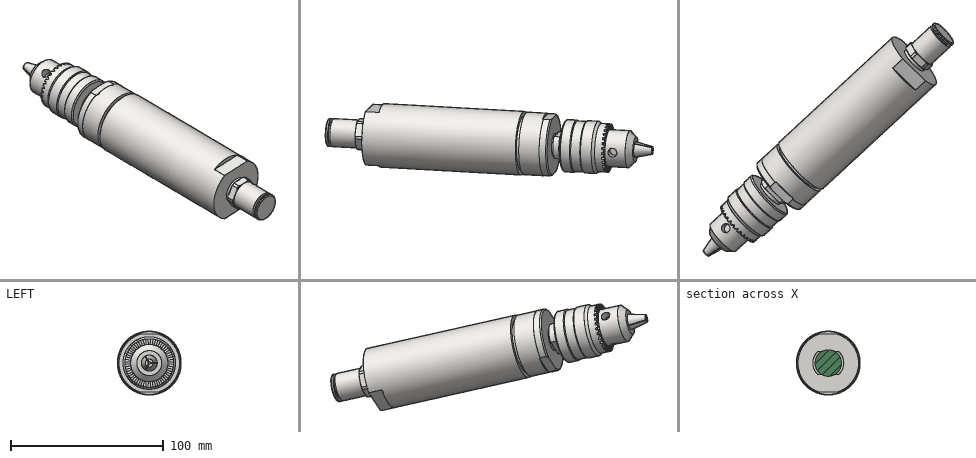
import cadquery as cq
import math


NOSE_X = 11.4
NOSE_CONE_END_X = 15.5
GEAR_X = 29.0
GEAR_END_X = 35.2
SLEEVE_X = 37.2
GRIP_X = 45.0
GRIP_END_X = 51.1
SLEEVE_END_X = 58.8
SPINDLE_FLAT_X = 60.8
SPINDLE_FLAT_END_X = 64.7
FRONT_FLANGE_X = 66.2
CAP_X = 71.5
FRONT_FLAT_END_X = 72.1
GROOVE_X = 85.2
GROOVE_END_X = 87.5
SEAM_X = 151.0
REAR_FLANGE_X = 181.8
REAR_END_X = 191.0
NUT_X = 193.2
NUT_END_X = 198.2
CLIP_X = 215.3
CLIP_END_X = 216.8
TOTAL_LENGTH = 218.5

JAW_TIP_DIA = 5.2
JAW_BASE_DIA = 10.5
NOSE_DIA = 16.5
CHUCK_DIA = 24.5
GEAR_DIA = 32.0
SLEEVE_DIA = 34.5
GRIP_DIA = 33.5
COLLAR_DIA = 18.0
SPINDLE_DIA = 14.9
SPINDLE_FLAT_DIA = 20.3
FRONT_FLANGE_DIA = 41.5
CAP_DIA = 41.3
BODY_DIA = 42.0
GROOVE_DIA = 36.0
NUT_DIA = 21.0
FITTING_DIA = 18.5
CLIP_DIA = 14.0

FRONT_FLAT_WIDTH = 38.0
REAR_FLAT_WIDTH = 36.0
NUT_FLAT_WIDTH = 19.0
GRIP_BEVEL = 0.7
SLEEVE_CHAMFER = 0.9
COLLAR_FILLET = 0.9
FLANGE_CHAMFER = 0.9
NUT_CHAMFER = 0.5
FITTING_CHAMFER = 0.7

JAW_COUNT = 3
JAW_SLIT = 0.5
JAW_BORE_DIA = 1.5
KEY_HOLE_DIA = 6.0
KEY_HOLE_X = 24.0
KEY_HOLE_DEPTH = 5.7
TOOTH_COUNT = 30
TOOTH_SLOT_WIDTH = 1.5
TOOTH_SLOT_DEPTH = 1.5


def turned(points):
    """Solid of revolution about X from (x, diameter) points."""
    outline = [(x, dia / 2) for x, dia in points]
    closed = [(points[0][0], 0)] + outline + [(points[-1][0], 0)]
    return cq.Workplane("XY").polyline(closed).close().revolve(360, (0, 0, 0), (1, 0, 0), clean=False)


def cylinder(start, end, dia):
    return cq.Workplane("YZ", origin=(start, 0, 0)).circle(dia / 2).extrude(end - start)


def double_flat(disc, start, end, width):
    """Keep the part of a disc between two flats that face +Z and -Z."""
    slab = cq.Workplane("XY").box(end - start, BODY_DIA, width).translate(((start + end) / 2, 0, 0))
    return disc.intersect(slab)


def around_axis(shape, count):
    """Copies of a shape spread evenly about X."""
    return [shape.rotate((0, 0, 0), (1, 0, 0), 360 / count * i) for i in range(count)]


def make_chuck():
    chuck = turned([
        (0, JAW_TIP_DIA),
        (NOSE_X, JAW_BASE_DIA),
        (NOSE_X, NOSE_DIA),
        (NOSE_CONE_END_X, CHUCK_DIA),
        (GEAR_X, CHUCK_DIA),
        (GEAR_X, GEAR_DIA),
        (GEAR_END_X, GEAR_DIA),
        (SLEEVE_X, SLEEVE_DIA),
        (GRIP_X - GRIP_BEVEL, SLEEVE_DIA),
        (GRIP_X, GRIP_DIA),
        (GRIP_END_X, GRIP_DIA),
        (GRIP_END_X + GRIP_BEVEL, SLEEVE_DIA),
        (SLEEVE_END_X - SLEEVE_CHAMFER, SLEEVE_DIA),
        (SLEEVE_END_X, SLEEVE_DIA - 2 * SLEEVE_CHAMFER),
    ])

    slit_height = JAW_BASE_DIA / 2
    slit = cq.Workplane("XY").box(NOSE_X, slit_height, JAW_SLIT)
    slit = slit.translate((NOSE_X / 2, -slit_height / 2, 0))
    jaw_cuts = around_axis(slit, JAW_COUNT) + [cylinder(0, NOSE_X, JAW_BORE_DIA)]

    hole_floor = CHUCK_DIA / 2 - KEY_HOLE_DEPTH
    key_hole = cq.Workplane("XZ", origin=(KEY_HOLE_X, hole_floor, 0))
    key_hole = key_hole.circle(KEY_HOLE_DIA / 2).extrude(-CHUCK_DIA / 2)

    bottom_x = GEAR_X + TOOTH_SLOT_DEPTH
    half_width = TOOTH_SLOT_WIDTH / 2
    tooth_slot = (
        cq.Workplane("XZ", origin=(0, -CHUCK_DIA / 2, 0))
        .moveTo(GEAR_X, -half_width)
        .lineTo(bottom_x - half_width, -half_width)
        .threePointArc((bottom_x, 0), (bottom_x - half_width, half_width))
        .lineTo(GEAR_X, half_width)
        .close()
        .extrude((GEAR_DIA - CHUCK_DIA) / 2 + half_width)
    )

    for cutter in jaw_cuts + around_axis(key_hole, JAW_COUNT) + around_axis(tooth_slot, TOOTH_COUNT):
        chuck = chuck.cut(cutter, clean=False)
    return chuck


def make_spindle():
    collar = cylinder(SLEEVE_END_X, SPINDLE_FLAT_X, COLLAR_DIA).edges(">X").fillet(COLLAR_FILLET)
    disc = cylinder(SPINDLE_FLAT_X, SPINDLE_FLAT_END_X, SPINDLE_FLAT_DIA)
    wrench_flats = double_flat(disc, SPINDLE_FLAT_X, SPINDLE_FLAT_END_X, SPINDLE_DIA)
    shaft = cylinder(SPINDLE_FLAT_END_X, FRONT_FLANGE_X, SPINDLE_DIA)
    return [collar, wrench_flats, shaft]


def make_housing():
    flange = cylinder(FRONT_FLANGE_X, CAP_X, FRONT_FLANGE_DIA).faces("<X").chamfer(FLANGE_CHAMFER)
    flange = flange.union(cylinder(CAP_X, FRONT_FLAT_END_X, CAP_DIA), clean=False)
    front_flange = double_flat(flange, FRONT_FLANGE_X, FRONT_FLAT_END_X, FRONT_FLAT_WIDTH)
    body = turned([
        (FRONT_FLAT_END_X, CAP_DIA),
        (GROOVE_X, CAP_DIA),
        (GROOVE_X, GROOVE_DIA),
        (GROOVE_END_X, GROOVE_DIA),
        (GROOVE_END_X, BODY_DIA),
        (SEAM_X, BODY_DIA),
        (REAR_FLANGE_X, BODY_DIA),
    ])
    rear_flange = cylinder(REAR_FLANGE_X, REAR_END_X, BODY_DIA)
    rear_flange = double_flat(rear_flange, REAR_FLANGE_X, REAR_END_X, REAR_FLAT_WIDTH)
    return [front_flange, body, rear_flange]


def make_hose_fitting():
    fitting = turned([
        (REAR_END_X, COLLAR_DIA),
        (NUT_END_X, COLLAR_DIA),
        (NUT_END_X, FITTING_DIA),
        (CLIP_X, FITTING_DIA),
        (CLIP_X, CLIP_DIA),
        (CLIP_END_X, CLIP_DIA),
        (CLIP_END_X, FITTING_DIA),
        (TOTAL_LENGTH - FITTING_CHAMFER, FITTING_DIA),
        (TOTAL_LENGTH, FITTING_DIA - 2 * FITTING_CHAMFER),
    ])
    corner_dia = NUT_FLAT_WIDTH / math.cos(math.pi / 6)
    hexagon = cq.Workplane("YZ", origin=(NUT_X, 0, 0)).polygon(6, corner_dia).extrude(NUT_END_X - NUT_X)
    nut = cylinder(NUT_X, NUT_END_X, NUT_DIA).faces("<X or >X").chamfer(NUT_CHAMFER).intersect(hexagon)
    return [fitting, nut]


result = make_chuck()
for piece in make_spindle() + make_housing() + make_hose_fitting():
    result = result.union(piece, clean=False)